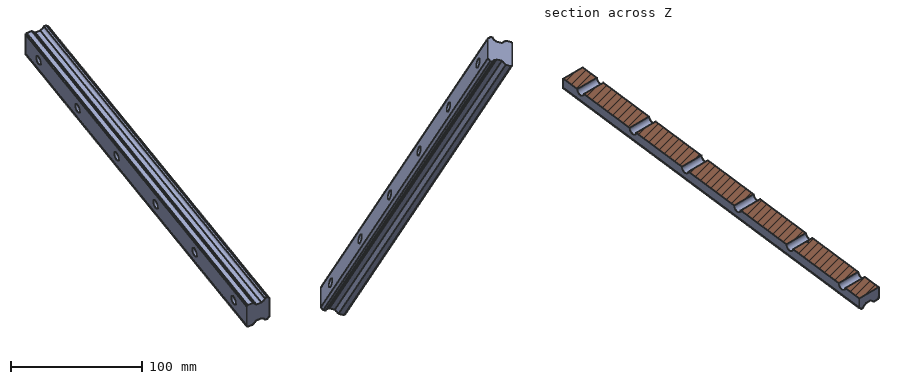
import cadquery as cq

length = 340.0
depth = 20.0
height = 23.0

base_chamfer = 1.0
head_chamfer = 2.0
groove_floor_depth = 3.0
base_flank_foot = 5.5
floor_start = 8.5
floor_end = 13.0
flank_foot = 14.0
flank_foot_depth = 2.5
head_flank_top = 16.0
flank_sag = 0.5

hole_count = 6
hole_diameter = 7.0
hole_end_distance = 20.0
hole_pitch = (length - 2 * hole_end_distance) / (hole_count - 1)

half_height = height / 2
floor_z = half_height - groove_floor_depth
flank_foot_z = half_height - flank_foot_depth
flank_middle = (
    (flank_foot + head_flank_top) / 2 + flank_sag,
    (flank_foot_z + half_height) / 2 - flank_sag,
)


def make_half_rail():
    """Upper half of the rail: base at Y = 0, ball groove on top, head at Y = depth."""
    return (
        cq.Workplane("YZ")
        .moveTo(0, 0)
        .lineTo(0, half_height - base_chamfer)
        .lineTo(base_chamfer, half_height)
        .lineTo(base_flank_foot, half_height)
        .lineTo(floor_start, floor_z)
        .lineTo(floor_end, floor_z)
        .lineTo(flank_foot, flank_foot_z)
        .threePointArc(flank_middle, (head_flank_top, half_height))
        .lineTo(depth - head_chamfer, half_height)
        .lineTo(depth, half_height - head_chamfer)
        .lineTo(depth, 0)
        .close()
        .extrude(length / 2, both=True)
    )


def make_holes():
    """Row of round through holes along the rail, running in Y."""
    return (
        cq.Workplane("XZ")
        .rarray(hole_pitch, 3.5, hole_count, 1)
        .circle(hole_diameter / 2)
        .extrude(-depth)
    )


upper_half = make_half_rail()
rail = upper_half.union(upper_half.mirror("XY")).clean()
result = rail.cut(make_holes())